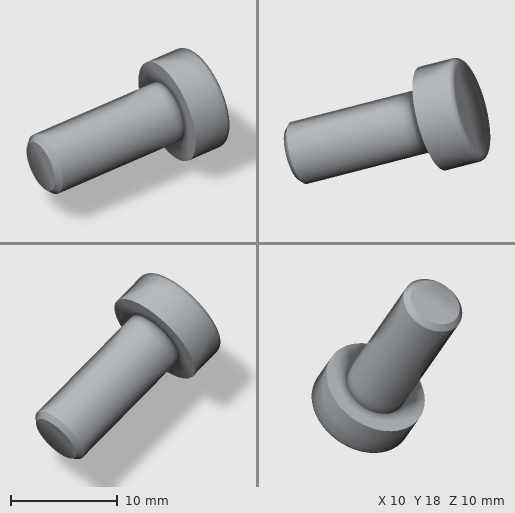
import cadquery as cq

total_length = 18.0
head_diameter = 10.0
head_height = 4.0
head_edge_radius = 0.6
shank_diameter = 6.0
tip_chamfer = 0.5
shank_length = total_length - head_height


def make_shank():
    """Cylinder from the tip at Y = 0 to the underside of the head, with a chamfered tip."""
    shank = cq.Workplane("XZ").circle(shank_diameter / 2).extrude(-shank_length)
    return shank.faces("<Y").edges().chamfer(tip_chamfer)


def make_head():
    """Cylindrical head with a rounded outer edge on its +Y face."""
    underside = cq.Workplane("XZ", origin=(0, shank_length, 0))
    head = underside.circle(head_diameter / 2).extrude(-head_height)
    return head.faces(">Y").edges().fillet(head_edge_radius)


result = make_shank().union(make_head())